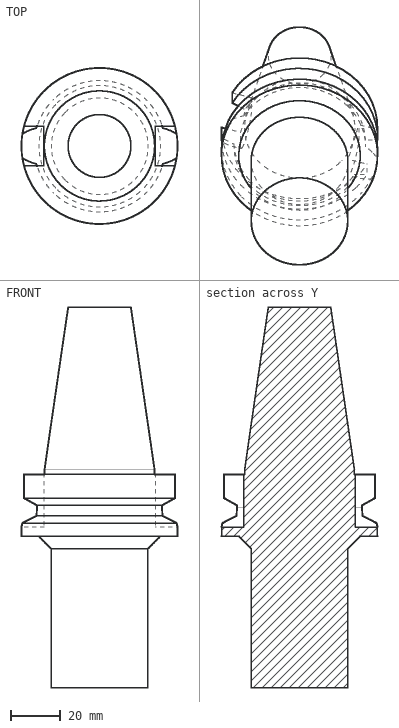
import cadquery as cq
import math

taper_length = 65.4
gauge_diameter = 44.45
taper_ratio = 7 / 24

projection = 88.0
shank_diameter = 39.0

flange_diameter = 63.0
flange_top = -2.0
flange_bottom = -27.0

groove_center = -16.6
groove_width = 10.0
groove_diameter = 53.0
groove_wall_angle = 30.0

cone_height = 5.0

slot_width = 16.1
slot_bottom = -23.2
slot_floor_distance = 22.5

small_end_diameter = gauge_diameter - taper_length * taper_ratio
gauge_radius = gauge_diameter / 2
shank_radius = shank_diameter / 2
flange_radius = flange_diameter / 2
groove_radius = groove_diameter / 2
rim_half_width = groove_width / 2
groove_wall_height = (flange_radius - groove_radius) * math.tan(math.radians(groove_wall_angle))
floor_half_width = rim_half_width - groove_wall_height
cone_radius = shank_radius + cone_height
slot_radius = slot_width / 2
slot_arc_center = slot_bottom + slot_radius


def make_body():
    """Revolve the half outline of the holder about the Z axis."""
    outline = [
        (0, taper_length),
        (small_end_diameter / 2, taper_length),
        (gauge_radius, 0),
        (gauge_radius, flange_top),
        (flange_radius, flange_top),
        (flange_radius, groove_center + rim_half_width),
        (groove_radius, groove_center + floor_half_width),
        (groove_radius, groove_center - floor_half_width),
        (flange_radius, groove_center - rim_half_width),
        (flange_radius, flange_bottom),
        (cone_radius, flange_bottom),
        (shank_radius, flange_bottom - cone_height),
        (shank_radius, -projection),
        (0, -projection),
    ]
    return cq.Workplane("XZ").polyline(outline).close().revolve(360, (0, 0, 0), (0, 1, 0))


def make_drive_slot():
    """Cutter for the +X drive slot: open at the top, round at the bottom, flat floor."""
    return (
        cq.Workplane("YZ", origin=(slot_floor_distance, 0, 0))
        .moveTo(-slot_radius, flange_top)
        .lineTo(-slot_radius, slot_arc_center)
        .threePointArc((0, slot_bottom), (slot_radius, slot_arc_center))
        .lineTo(slot_radius, flange_top)
        .close()
        .extrude(flange_radius - slot_floor_distance)
    )


result = make_body()
for slot_angle in (0, 180):
    result = result.cut(make_drive_slot().rotate((0, 0, 0), (0, 0, 1), slot_angle))